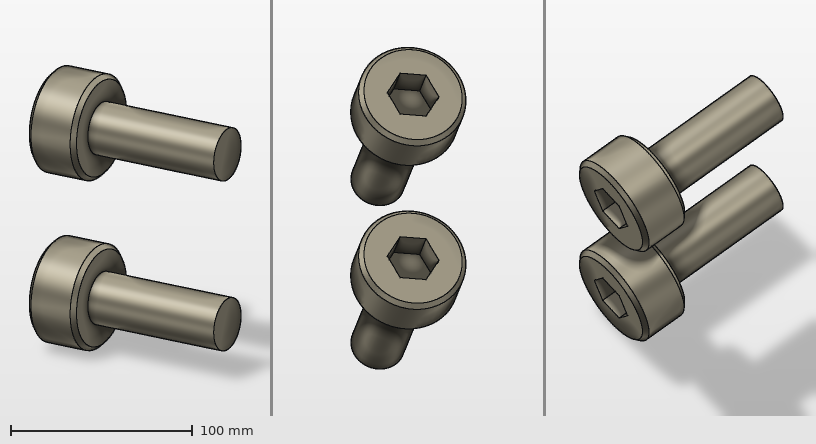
import cadquery as cq
import math

head_diameter = 60.0
shank_length = 80.0
bolt_spacing = 100.0
chamfer_size = 2.5
socket_across_flats = 25.0
socket_depth = 20.0

head_length = head_diameter / 2
shank_diameter = head_diameter / 2
socket_across_corners = socket_across_flats / math.cos(math.radians(30))


def make_bolt(center_z):
    """Socket-head bolt along +X, with its head face at X = 0."""
    axis_plane = cq.Workplane("YZ", origin=(0, 0, center_z))

    head = axis_plane.circle(head_diameter / 2).extrude(head_length)
    head = head.edges("%CIRCLE").chamfer(chamfer_size)

    shank = (
        axis_plane.workplane(offset=head_length)
        .circle(shank_diameter / 2)
        .extrude(shank_length)
    )

    socket = axis_plane.polygon(6, socket_across_corners).extrude(socket_depth)

    return head.union(shank).cut(socket)


bolts = [make_bolt(side * bolt_spacing / 2) for side in (-1, 1)]

result = cq.Compound.makeCompound([bolt.val() for bolt in bolts])